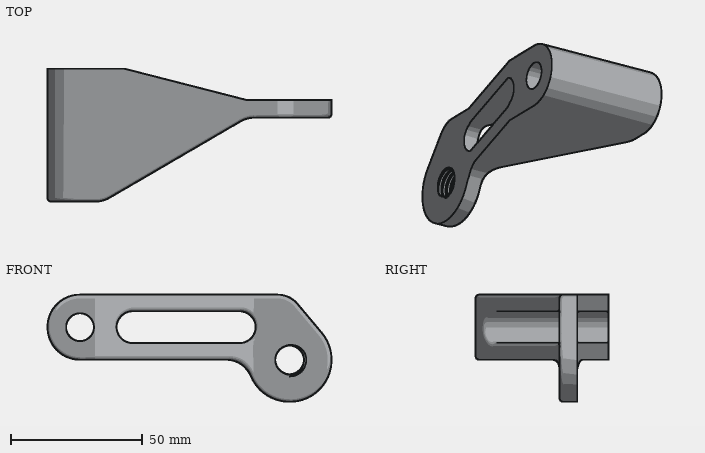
import cadquery as cq
import math

hub_radius = 12.5
bore_diameter = 10.5
hub_depth = 50.8

eye_radius = 16.1
overall_length = 108.5
overall_height = 41.0
eye_x = overall_length - hub_radius - eye_radius
eye_z = hub_radius + eye_radius - overall_height
eye_back_y = -11.9
eye_thickness = 6.8
eye_front_y = eye_back_y - eye_thickness

front_taper_start_x = 8.7
back_taper_start_x = 17.0
taper_end_x = 63.6

bend_radius = 10.6
blend_radius = 10.0
shoulder_angle = math.radians(40)
edge_round = 1.5

slot_width = 12.0
slot_start_x = 14.0
slot_end_x = 66.9

thread_major_diameter = 12.7
thread_minor_diameter = 10.8
thread_pitch = 2.0
thread_crest_flat = 0.2
tool_overlap = 0.3


def make_outline():
    """Side outline of hub, arm and eye, extruded over the full depth."""
    nx = math.cos(shoulder_angle)
    nz = math.sin(shoulder_angle)
    mid = (shoulder_angle + math.pi / 2) / 2

    shoulder_z = hub_radius - blend_radius
    eye_reach = nx * eye_x + nz * eye_z + eye_radius
    shoulder_x = (eye_reach - blend_radius - nz * shoulder_z) / nx

    neck_z = -hub_radius - blend_radius
    centre_gap = blend_radius + eye_radius
    neck_drop = eye_z - neck_z
    neck_run = math.sqrt(centre_gap**2 - neck_drop**2)
    neck_x = eye_x - neck_run
    neck_angle = math.atan2(neck_drop, neck_run)
    neck_mid = (neck_angle + math.pi / 2) / 2

    def on_arc(x, z, radius, angle):
        return (x + radius * math.cos(angle), z + radius * math.sin(angle))

    return (
        cq.Workplane("XZ")
        .moveTo(0, hub_radius)
        .lineTo(shoulder_x, hub_radius)
        .threePointArc(
            on_arc(shoulder_x, shoulder_z, blend_radius, mid),
            on_arc(shoulder_x, shoulder_z, blend_radius, shoulder_angle),
        )
        .lineTo(*on_arc(eye_x, eye_z, eye_radius, shoulder_angle))
        .threePointArc(
            (eye_x, eye_z - eye_radius),
            on_arc(eye_x, eye_z, eye_radius, neck_angle + math.pi),
        )
        .threePointArc(
            on_arc(neck_x, neck_z, blend_radius, neck_mid),
            (neck_x, -hub_radius),
        )
        .lineTo(0, -hub_radius)
        .threePointArc((-hub_radius, 0), (0, hub_radius))
        .close()
        .extrude(hub_depth)
    )


def make_plan():
    """Tapered plan shape, with its two front bends rounded."""
    left = -hub_radius
    right = eye_x + eye_radius
    front_bends = cq.selectors.BoxSelector(
        (front_taper_start_x - 1.1, -hub_depth - 1.1, -overall_height),
        (taper_end_x + 1.1, eye_front_y + 1.1, overall_height),
    )
    return (
        cq.Workplane("XY")
        .polyline([
            (left, 0),
            (back_taper_start_x, 0),
            (taper_end_x, eye_back_y),
            (right, eye_back_y),
            (right, eye_front_y),
            (taper_end_x, eye_front_y),
            (front_taper_start_x, -hub_depth),
            (left, -hub_depth),
        ])
        .close()
        .extrude(overall_height, both=True)
        .edges("|Z")
        .edges(front_bends)
        .fillet(bend_radius)
    )


def make_slot():
    return (
        cq.Workplane("XZ")
        .center((slot_start_x + slot_end_x) / 2, 0)
        .slot2D(slot_end_x - slot_start_x, slot_width)
        .extrude(hub_depth)
    )


def make_thread_cutter():
    """Helical V groove along Y, running out through both faces of the eye."""
    root_radius = thread_major_diameter / 2
    inner_radius = thread_minor_diameter / 2 - tool_overlap
    groove_half = (thread_pitch - thread_crest_flat) / 2
    length = eye_thickness + 2 * thread_pitch
    helix = cq.Wire.makeHelix(thread_pitch, length, inner_radius)
    groove = (
        cq.Workplane("XZ")
        .polyline([
            (inner_radius, -groove_half),
            (root_radius, -thread_crest_flat / 2),
            (root_radius, thread_crest_flat / 2),
            (inner_radius, groove_half),
        ])
        .close()
        .sweep(cq.Workplane(obj=helix), isFrenet=True)
    )
    return groove.rotate((0, 0, 0), (1, 0, 0), 90).translate(
        (eye_x, eye_back_y + thread_pitch / 2, eye_z)
    )


def make_hole(x, z, diameter):
    return cq.Workplane("XZ").center(x, z).circle(diameter / 2).extrude(hub_depth)


body = make_outline().intersect(make_plan()).cut(make_slot())

front_faces = body.faces().filter(lambda face: face.normalAt().y < -0.5)

body = body.newObject(front_faces.edges("not |Z").vals()).fillet(edge_round)

result = (
    body
    .cut(make_hole(0, 0, bore_diameter))
    .cut(make_thread_cutter())
    .cut(make_hole(eye_x, eye_z, thread_minor_diameter))
)